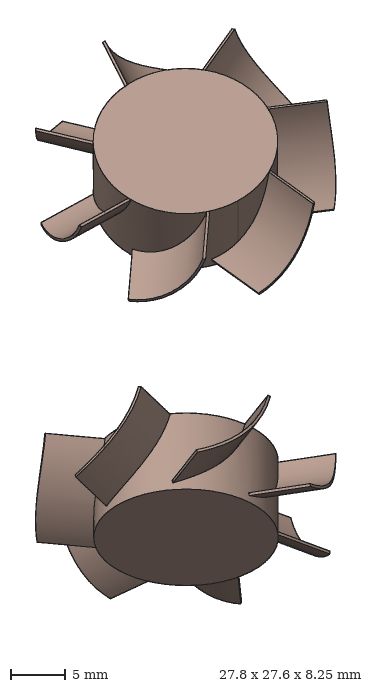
import cadquery as cq
import math

hub_diameter = 17.0
hub_height = 8.25

blade_count = 7
tip_radius = 13.88
blade_thickness = 0.28
blade_bottom = 0.72
curve_radius = 10.43
center_x = -7.35
center_z = 10.7
root_radius = 5.55

inner_radius = curve_radius - blade_thickness
lower_angle = math.asin((blade_bottom - center_z) / curve_radius)
upper_angle = math.asin((hub_height - center_z) / inner_radius)
middle_angle = (lower_angle + upper_angle) / 2


def curve_point(radius, angle):
    """Point (X, Z) on a circle around the blade's center of curvature."""
    return (center_x + radius * math.cos(angle), center_z + radius * math.sin(angle))


def make_blade():
    """Blade pointing toward -Y, with its outer end rounded to the tip radius."""
    sheet = (
        cq.Workplane("XZ", origin=(0, -root_radius, 0))
        .moveTo(*curve_point(curve_radius, lower_angle))
        .threePointArc(curve_point(curve_radius, middle_angle), curve_point(curve_radius, upper_angle))
        .lineTo(*curve_point(inner_radius, upper_angle))
        .threePointArc(curve_point(inner_radius, middle_angle), curve_point(inner_radius, lower_angle))
        .close()
        .extrude(tip_radius - root_radius)
    )
    tip_cylinder = cq.Workplane("XY").circle(tip_radius).extrude(hub_height)
    return sheet.intersect(tip_cylinder)


result = cq.Workplane("XY").circle(hub_diameter / 2).extrude(hub_height)
blade = make_blade()
for index in range(blade_count):
    result = result.union(blade.rotate((0, 0, 0), (0, 0, 1), index * 360 / blade_count))